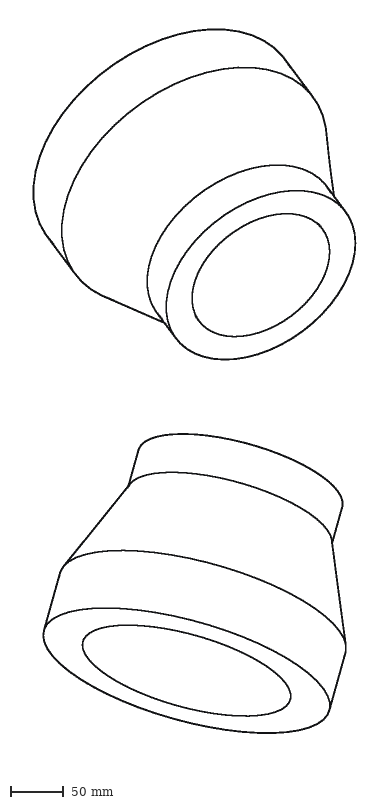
import cadquery as cq

large_outer_diameter = 280.0
large_bore_diameter = 203.3
small_outer_diameter = 200.0
small_bore_diameter = 145.3

total_length = 200.0
large_end_length = 60.0
small_end_length = 40.0
cone_end = total_length - small_end_length


def stepped_cone(large_diameter, small_diameter):
    """Solid with a large cylinder, a conical transition and a small cylinder."""
    large_radius = large_diameter / 2
    small_radius = small_diameter / 2
    return (
        cq.Workplane("XY")
        .moveTo(0, 0)
        .lineTo(0, large_radius)
        .lineTo(large_end_length, large_radius)
        .lineTo(cone_end, small_radius)
        .lineTo(total_length, small_radius)
        .lineTo(total_length, 0)
        .close()
        .revolve(360, (0, 0, 0), (1, 0, 0))
    )


body = stepped_cone(large_outer_diameter, small_outer_diameter)
bore = stepped_cone(large_bore_diameter, small_bore_diameter)

result = body.cut(bore)